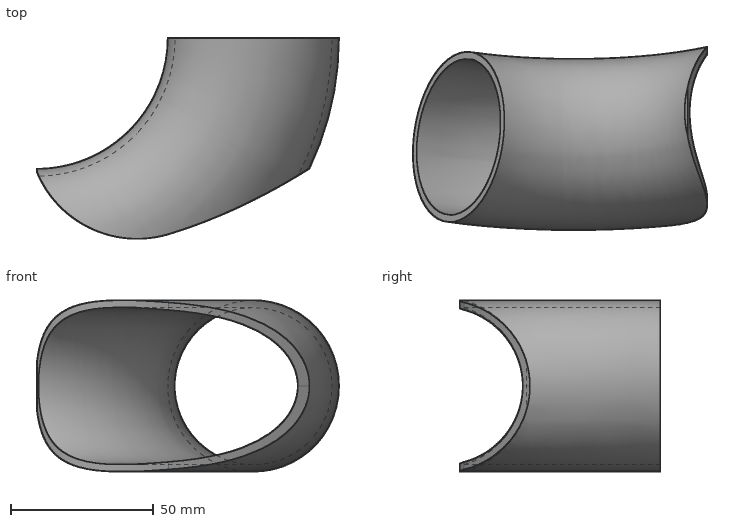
import cadquery as cq

overall_length = 106.2
pipe_radius = 30.1
wall = 2.5
bend_radius = overall_length - pipe_radius
bend_angle = 90.0

arc_start_y = -47.1
arc_crest_x = 35.2
arc_crest_y = -70.6
seam_x = 46.1


def mitre_y(x, other_x):
    """Joint with a straight pipe along X, whose axis touches the bend centreline at X = 0.

    Equal pipes meet on the parabola y = x^2 / (4 R) - R. With x == other_x this is the
    point on it; otherwise it is the height where the tangents at x and other_x cross.
    """
    return x * other_x / (4 * bend_radius) - bend_radius


def make_elbow():
    """Quarter bend of pipe, from the end face at Y = 0 round to the plane X = 0."""
    return (
        cq.Workplane("XZ")
        .center(bend_radius, 0)
        .circle(pipe_radius)
        .circle(pipe_radius - wall)
        .revolve(bend_angle, (-bend_radius, 0), (-bend_radius, -1))
    )


def make_trim_block():
    """Block holding the part of the elbow that remains, bounded by the end cut."""
    seam = (seam_x, mitre_y(seam_x, seam_x))
    far_end = (overall_length, mitre_y(overall_length, overall_length))
    tangent_x = (seam_x + overall_length) / 2
    tangent_point = (tangent_x, mitre_y(seam_x, overall_length))
    return (
        cq.Workplane("XY")
        .moveTo(0, 0)
        .lineTo(0, arc_start_y)
        .threePointArc((arc_crest_x, arc_crest_y), seam)
        .bezier([seam, tangent_point, far_end])
        .lineTo(overall_length, 0)
        .close()
        .extrude(pipe_radius, both=True)
    )


result = make_elbow().intersect(make_trim_block())